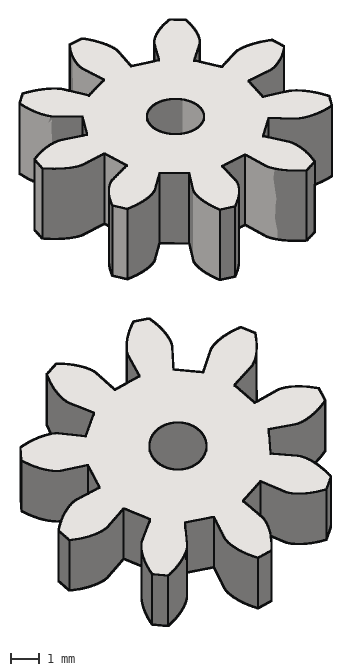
import cadquery as cq
import math

tooth_count = 9
pressure_angle = math.radians(20)
overall_size_y = 10.92
thickness = 3.12
bore_diameter = 2.0
dedendum_factor = 1.25
flank_point_count = 8

tooth_pitch_angle = 2 * math.pi / tooth_count


def involute_angle(angle):
    """Polar angle swept by an involute at the given pressure angle."""
    return math.tan(angle) - angle


base_half_angle = tooth_pitch_angle / 4 + involute_angle(pressure_angle)
tip_to_pitch_ratio = (tooth_count + 2) / tooth_count
tip_pressure_angle = math.acos(math.cos(pressure_angle) / tip_to_pitch_ratio)
tip_half_angle = base_half_angle - involute_angle(tip_pressure_angle)

highest_corner_angle = 2 * tooth_pitch_angle + tip_half_angle
tip_radius = overall_size_y / 2 / math.sin(highest_corner_angle)

pitch_radius = tip_radius / tip_to_pitch_ratio
module = 2 * pitch_radius / tooth_count
base_radius = pitch_radius * math.cos(pressure_angle)
root_radius = pitch_radius - dedendum_factor * module


def polar_point(radius, angle):
    return (radius * math.cos(angle), radius * math.sin(angle))


def flank_points(tooth_angle, side):
    """Involute flank from base circle to tip; side is -1 or +1 about the tooth axis."""
    points = []
    for i in range(flank_point_count):
        roll = math.tan(tip_pressure_angle) * i / (flank_point_count - 1)
        local_pressure_angle = math.atan(roll)
        radius = base_radius / math.cos(local_pressure_angle)
        half_angle = base_half_angle - involute_angle(local_pressure_angle)
        points.append(polar_point(radius, tooth_angle + side * half_angle))
    return points


def gear_outline():
    outline = cq.Workplane("XY").moveTo(*polar_point(root_radius, -base_half_angle))
    for i in range(tooth_count):
        tooth_angle = i * tooth_pitch_angle
        rising_flank = flank_points(tooth_angle, -1)
        falling_flank = flank_points(tooth_angle, 1)[::-1]

        outline = outline.lineTo(*rising_flank[0])
        outline = outline.spline(rising_flank[1:], includeCurrent=True)
        outline = outline.lineTo(*falling_flank[0])
        outline = outline.spline(falling_flank[1:], includeCurrent=True)
        outline = outline.lineTo(*polar_point(root_radius, tooth_angle + base_half_angle))

        if i < tooth_count - 1:
            next_root_angle = tooth_angle + tooth_pitch_angle - base_half_angle
            outline = outline.lineTo(*polar_point(root_radius, next_root_angle))
    return outline.close()


gear_body = gear_outline().extrude(thickness)
result = gear_body.faces(">Z").workplane(origin=(0, 0, thickness)).hole(bore_diameter)